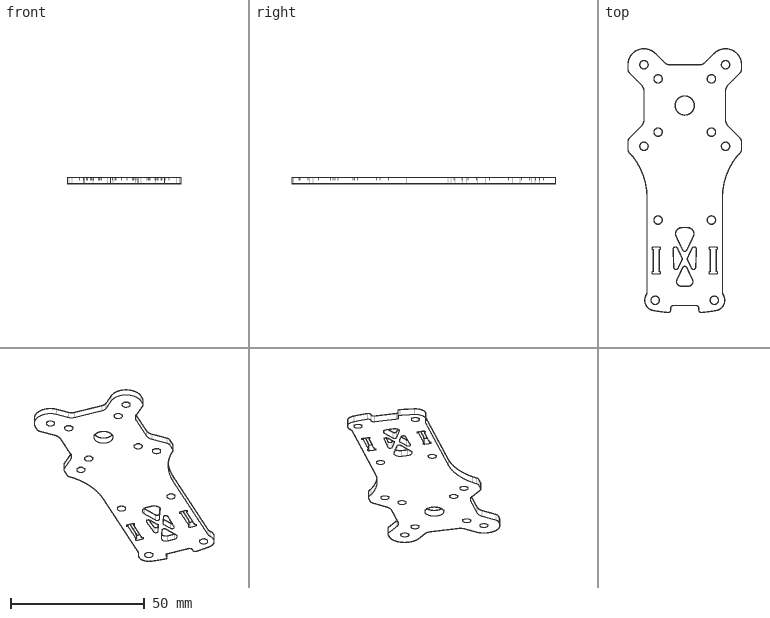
import cadquery as cq
import math

thickness = 2.5
length = 98.7
width = 42.5
screw_hole = 3.1
motor_hole = 7.1

arm_radius = 6.0
head_half_width = width / 2
arm_hole_offset = head_half_width - arm_radius
inner_hole_offset = 10.0
waist_half_width = arm_hole_offset
arm_edge_shift = arm_radius * math.sqrt(2)
notch_fillet = 3
waist_fillet = 4.0
arm_corner_fillet = 2

tail_half_width = 14.1
tail_start_y = -34.5
flare_radius = 25.1
flare_end_y = -18.9
tail_hole = (inner_hole_offset, -42.8)
ear_radius = 3.9
ear_fillet = 2.5
rear_notch_half_width = 5.2
rear_notch_y = -74.8
rear_notch_fillet = 1
rear_tip_fillet = 1

rear_radius = 69.1
rear_end_y = head_half_width - length
tip_center_x = rear_notch_half_width + rear_tip_fillet
tip_center_y = rear_end_y + rear_tip_fillet
rear_center_y = tip_center_y + math.sqrt((rear_radius - rear_tip_fillet) ** 2 - tip_center_x ** 2)
ear_x = 11.1
ear_hole = (ear_x, rear_center_y - math.sqrt((rear_radius - ear_radius) ** 2 - ear_x ** 2))

web_slope = 0.48
web_y = -57.3
web_tip_gap = 1.8
web_side_gap = 0.9
web_front_y = -45.7
web_rear_y = -67.5
web_fillet = 0.8
web_front_fillet = 2.3
web_rear_fillet = 1.7
side_front_x = 4.4
side_rear_x = 3.9
side_fillet = 0.8

slot_center = (10.7, -57.9)
slot_width = 2.2
slot_length = 10.1
relief_radius = 0.5


def round_corners(body, corners):
    """Fillet the vertical edge at each (point, radius) pair."""
    for (x, y), radius in corners:
        edge = cq.NearestToPointSelector((x, y, thickness / 2))
        body = body.edges("|Z").edges(edge).fillet(radius)
    return body


def point_on_circle(center, radius, angle):
    """Point at an angle in radians, counterclockwise from +X."""
    return (center[0] + radius * math.cos(angle), center[1] + radius * math.sin(angle))


def both_sides(points):
    """The points and their mirror images across X = 0."""
    return [(side * x, y) for x, y in points for side in (1, -1)]


def half_plate():
    """Right half of the plate, up to the plane X = 0."""
    arm_center = (arm_hole_offset, arm_hole_offset)
    notch_corner = (arm_hole_offset - arm_edge_shift, arm_hole_offset)
    arm_tangent = point_on_circle(arm_center, arm_radius, math.radians(135))
    arm_top = point_on_circle(arm_center, arm_radius, math.radians(67.5))
    arm_side = (head_half_width, arm_hole_offset)
    arm_corner = (head_half_width, head_half_width - arm_edge_shift)
    waist_corner = (waist_half_width, waist_half_width - arm_edge_shift)
    lower_waist_corner = (waist_corner[0], -waist_corner[1])
    lower_arm_corner = (arm_corner[0], -arm_corner[1])

    flare_angle = math.asin((flare_end_y - tail_start_y) / flare_radius)
    flare_center = (tail_half_width + flare_radius, tail_start_y)
    flare_top = point_on_circle(flare_center, flare_radius, math.pi - flare_angle)
    flare_middle = point_on_circle(flare_center, flare_radius, math.pi - flare_angle / 2)
    rear_arm_corner = (head_half_width, flare_end_y + head_half_width - flare_top[0])

    ear_start_angle = math.acos((tail_half_width - ear_hole[0]) / ear_radius)
    ear_end_angle = math.asin(ear_x / (rear_radius - ear_radius)) - math.pi / 2
    ear_start = point_on_circle(ear_hole, ear_radius, ear_start_angle)
    ear_middle = point_on_circle(ear_hole, ear_radius, (ear_start_angle + ear_end_angle) / 2)
    ear_end = point_on_circle(ear_hole, ear_radius, ear_end_angle)

    rear_center = (0, rear_center_y)
    rear_tip_angle = math.asin(rear_notch_half_width / rear_radius) - math.pi / 2
    rear_middle = point_on_circle(rear_center, rear_radius, (ear_end_angle + rear_tip_angle) / 2)
    rear_tip = point_on_circle(rear_center, rear_radius, rear_tip_angle)
    rear_notch_corner = (rear_notch_half_width, rear_notch_y)

    body = (
        cq.Workplane("XY")
        .moveTo(0, arm_hole_offset)
        .lineTo(*notch_corner)
        .lineTo(*arm_tangent)
        .threePointArc(arm_top, arm_side)
        .lineTo(*arm_corner)
        .lineTo(*waist_corner)
        .lineTo(*lower_waist_corner)
        .lineTo(*lower_arm_corner)
        .lineTo(*rear_arm_corner)
        .lineTo(*flare_top)
        .threePointArc(flare_middle, (tail_half_width, tail_start_y))
        .lineTo(*ear_start)
        .threePointArc(ear_middle, ear_end)
        .threePointArc(rear_middle, rear_tip)
        .lineTo(*rear_notch_corner)
        .lineTo(0, rear_notch_y)
        .close()
        .extrude(thickness)
    )
    return round_corners(body, [
        (notch_corner, notch_fillet),
        (arm_corner, arm_corner_fillet),
        (waist_corner, waist_fillet),
        (lower_waist_corner, waist_fillet),
        (lower_arm_corner, arm_corner_fillet),
        (rear_arm_corner, arm_corner_fillet),
        (ear_start, ear_fillet),
        (rear_tip, rear_tip_fillet),
        (rear_notch_corner, rear_notch_fillet),
    ])


def rounded_triangle(corners):
    """Triangular cutter from three (point, fillet radius) pairs."""
    points = [point for point, radius in corners]
    body = cq.Workplane("XY").polyline(points).close().extrude(thickness)
    return round_corners(body, corners)


def end_triangle(apex_y, base_y, base_fillet):
    """Web opening on the centre line, from its apex to a straight base."""
    half_base = abs(base_y - apex_y) * web_slope
    return rounded_triangle([
        ((0, apex_y), web_fillet),
        ((half_base, base_y), base_fillet),
        ((-half_base, base_y), base_fillet),
    ])


def side_triangle():
    """Web opening on the right of the crossing."""
    front_y = web_y + (side_front_x - web_side_gap) / web_slope
    back_y = web_y - (side_rear_x - web_side_gap) / web_slope
    return rounded_triangle([
        ((web_side_gap, web_y), web_fillet),
        ((side_front_x, front_y), side_fillet),
        ((side_rear_x, back_y), side_fillet),
    ])


def strap_slot():
    """Right strap slot, with a round relief at each corner."""
    relief_pitch = slot_length - 2 * relief_radius
    slot = cq.Workplane("XY").center(*slot_center).rect(slot_width, slot_length).extrude(thickness)
    reliefs = (
        cq.Workplane("XY")
        .center(*slot_center)
        .rarray(slot_width, relief_pitch, 2, 2)
        .circle(relief_radius)
        .extrude(thickness)
    )
    return slot.union(reliefs)


def holes():
    """Cutters for all screw holes and the motor hole."""
    head_points = [
        (offset, side * offset)
        for offset in (arm_hole_offset, inner_hole_offset)
        for side in (1, -1)
    ]
    screw_points = both_sides(head_points + [tail_hole, ear_hole])
    screws = cq.Workplane("XY").pushPoints(screw_points).circle(screw_hole / 2).extrude(thickness)
    return screws.union(cq.Workplane("XY").circle(motor_hole / 2).extrude(thickness))


right_half = half_plate().cut(side_triangle()).cut(strap_slot())
plate = right_half.union(right_half.mirror("YZ"))
plate = plate.cut(end_triangle(web_y + web_tip_gap, web_front_y, web_front_fillet))
plate = plate.cut(end_triangle(web_y - web_tip_gap, web_rear_y, web_rear_fillet))
result = plate.cut(holes())